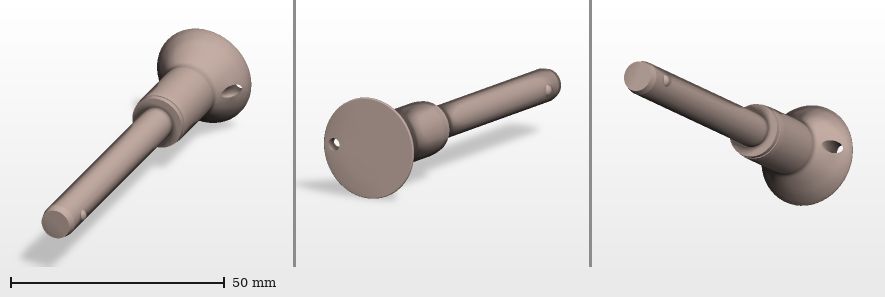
import cadquery as cq
import math

total_length = 85.7
handle_length = 27.5
shank_length = total_length - handle_length

head_radius = 12.0
rim_thickness = 0.6
rim_round_radius = 0.3
cone_length = 9.1
sleeve_radius = 6.6
neck_fillet_length = 1.05
cone_half_angle = math.radians(31)
sleeve_end_taper_length = 1.5
sleeve_end_radius = 6.5
collar_radius = 6.3
collar_length = 1.3

shank_radius = 4.0
tip_taper_length = 1.9
tip_radius = 3.55

lanyard_hole_diameter = 3.0
lanyard_hole_offset = 9.2

ball_radius = 1.5
ball_span = 9.5
ball_distance_from_tip = 6.9


def make_handle():
    """Flared head, sleeve and collar, revolved about Y."""
    head_y = handle_length
    rim_y = head_y - rim_thickness
    cone_end_y = head_y - cone_length
    neck_end_y = cone_end_y - neck_fillet_length
    taper_y = collar_length + sleeve_end_taper_length
    cone_end_radius = head_radius - (cone_length - rim_thickness) * math.tan(cone_half_angle)
    profile = (
        cq.Workplane("XY")
        .moveTo(0, 0)
        .lineTo(collar_radius, 0)
        .lineTo(collar_radius, collar_length)
        .lineTo(sleeve_end_radius, collar_length)
        .lineTo(sleeve_radius, taper_y)
        .lineTo(sleeve_radius, neck_end_y)
        .tangentArcPoint((cone_end_radius, cone_end_y), relative=False)
        .lineTo(head_radius, rim_y)
        .lineTo(head_radius, head_y - rim_round_radius)
        .tangentArcPoint((head_radius - rim_round_radius, head_y), relative=False)
        .lineTo(0, head_y)
        .close()
    )
    return profile.revolve(360, (0, 0, 0), (0, 1, 0))


def make_shank():
    """Cylindrical shank with a tapered tip, revolved about Y."""
    tip_y = -shank_length
    profile = (
        cq.Workplane("XY")
        .moveTo(0, 0)
        .lineTo(shank_radius, 0)
        .lineTo(shank_radius, tip_y + tip_taper_length)
        .lineTo(tip_radius, tip_y)
        .lineTo(0, tip_y)
        .close()
    )
    return profile.revolve(360, (0, 0, 0), (0, 1, 0))


def make_ball(side):
    """Locking ball on the +X (side = 1) or -X (side = -1) flank of the shank."""
    center_x = side * (ball_span / 2 - ball_radius)
    center_y = -shank_length + ball_distance_from_tip
    return cq.Workplane("XY").sphere(ball_radius).translate((center_x, center_y, 0))


def make_lanyard_hole():
    """Cutter running through the whole length of the handle."""
    return (
        cq.Workplane("XZ")
        .center(lanyard_hole_offset, 0)
        .circle(lanyard_hole_diameter / 2)
        .extrude(-handle_length)
    )


result = make_handle().cut(make_lanyard_hole()).union(make_shank())
for side in (-1, 1):
    result = result.union(make_ball(side))